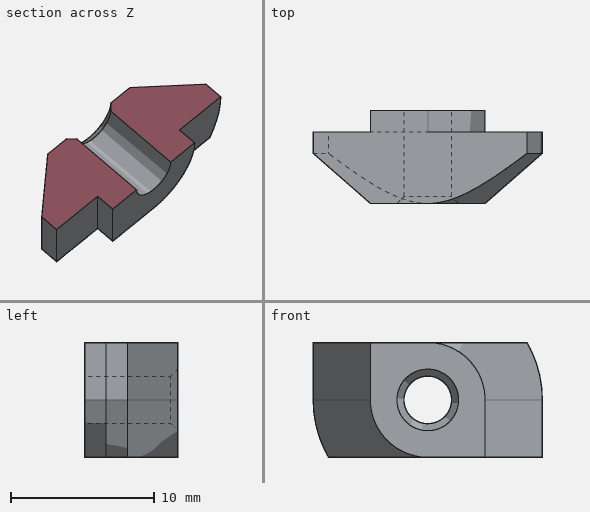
import cadquery as cq

length = 16.0
width = 8.0
boss_height = 1.5
head_depth = 5.0
rim_depth = 1.5
hole_diameter = 3.3
countersink_diameter = 4.3
countersink_depth = 0.5

half_length = length / 2
half_width = width / 2
total_depth = head_depth + boss_height
hole_radius = hole_diameter / 2
countersink_radius = countersink_diameter / 2


def half_profile():
    """Half section in XY: tapered wing plus boss, from the axis out to +X."""
    return cq.Workplane("XY").polyline([
        (0, -head_depth),
        (half_width, -head_depth),
        (half_length, -rim_depth),
        (half_length, 0),
        (half_width, 0),
        (half_width, boss_height),
        (0, boss_height),
    ]).close()


def nut_half():
    """The +X half: flat-sided below Z = 0, turned about the hole axis above it."""
    flat_quarter = half_profile().extrude(-half_width)
    turned = half_profile().revolve(360, (0, 0, 0), (0, 1, 0))
    quarter_box = cq.Workplane("XY").box(
        half_length, total_depth, half_width, centered=False
    ).translate((0, -head_depth, 0))
    return flat_quarter.union(turned.intersect(quarter_box))


def hole_cutter():
    """Through hole with a countersink at the front face."""
    return cq.Workplane("XY").polyline([
        (0, -head_depth),
        (countersink_radius, -head_depth),
        (hole_radius, -head_depth + countersink_depth),
        (hole_radius, boss_height),
        (0, boss_height),
    ]).close().revolve(360, (0, 0, 0), (0, 1, 0))


right_half = nut_half()
left_half = right_half.rotate((0, 0, 0), (0, 1, 0), 180)
result = right_half.union(left_half).cut(hole_cutter()).clean()